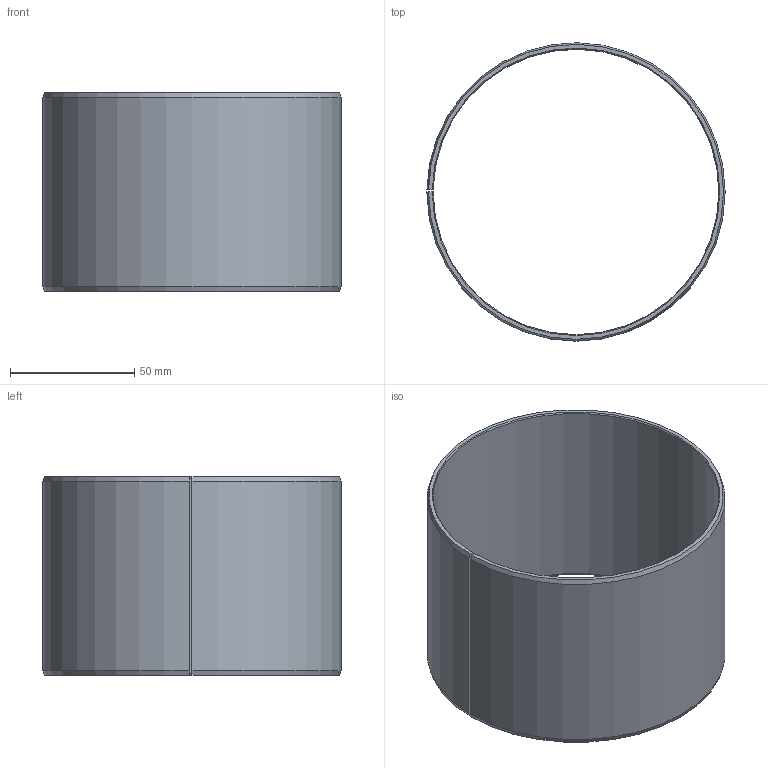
import cadquery as cq
import math

outer_diameter = 120.0
wall_thickness = 2.5
length = 80.0

outer_chamfer_length = 1.8
outer_chamfer_angle = math.radians(20.0)

bore_chamfer_length = 0.6
bore_chamfer_angle = math.radians(30.0)

slit_width = 1.0

outer_radius = outer_diameter / 2
bore_radius = outer_radius - wall_thickness
half_length = length / 2
outer_chamfer_depth = outer_chamfer_length * math.tan(outer_chamfer_angle)
bore_chamfer_depth = bore_chamfer_length * math.tan(bore_chamfer_angle)


def make_sleeve():
    """Revolve the chamfered wall section about Z, centred on the origin."""
    end_inner_radius = bore_radius + bore_chamfer_depth
    end_outer_radius = outer_radius - outer_chamfer_depth
    wall_section = (
        cq.Workplane("XZ")
        .moveTo(end_inner_radius, -half_length)
        .lineTo(end_outer_radius, -half_length)
        .lineTo(outer_radius, -half_length + outer_chamfer_length)
        .lineTo(outer_radius, half_length - outer_chamfer_length)
        .lineTo(end_outer_radius, half_length)
        .lineTo(end_inner_radius, half_length)
        .lineTo(bore_radius, half_length - bore_chamfer_length)
        .lineTo(bore_radius, -half_length + bore_chamfer_length)
        .close()
    )
    return wall_section.revolve(360, (0, 0, 0), (0, 1, 0))


def make_slit_cutter():
    """Full-length block that crosses the wall on the -X side only."""
    cutter = cq.Workplane("XY").box(outer_radius, slit_width, length)
    return cutter.translate((-outer_radius, slit_width / 2, 0))


result = make_sleeve().cut(make_slit_cutter())